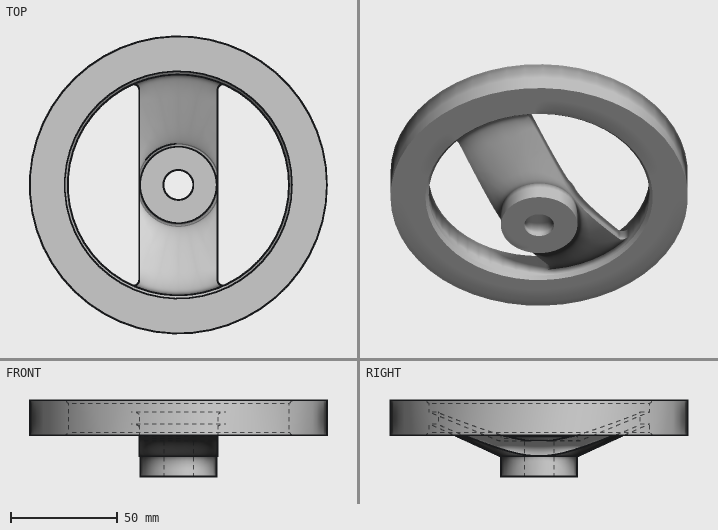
import cadquery as cq
import math

rim_outer_radius = 70.0
rim_inner_radius = 52.0
rim_width = 16.5
rim_chamfer = 1.5

hub_radius = 18.0
hub_top_z = -17.0
hub_bottom_z = -36.0
hub_neck_z = -26.5
hub_fillet_radius = 1.0
bore_diameter = 14.0

web_top_angle = 22.5
web_underside_angle = 24.5
web_top_z_at_rim = -5.4
spoke_width = 37.0
spoke_corner_radius = 2.5

web_overlap = 1.0


def revolve(profile):
    """Turn a closed (radius, Z) profile about the Z axis."""
    return profile.close().revolve(360, (0, 0, 0), (0, 1, 0))


def make_rim():
    """Plain ring whose bore is chamfered at both ends."""
    chamfer_radius = rim_inner_radius + rim_chamfer
    return revolve(
        cq.Workplane("XZ")
        .moveTo(rim_inner_radius, -rim_chamfer)
        .lineTo(chamfer_radius, 0)
        .lineTo(rim_outer_radius, 0)
        .lineTo(rim_outer_radius, -rim_width)
        .lineTo(chamfer_radius, -rim_width)
        .lineTo(rim_inner_radius, rim_chamfer - rim_width)
    )


def make_hub_and_web():
    """Hub and full conical web, with a fillet where the web meets the hub top."""
    top_tilt = math.radians(web_top_angle)
    underside_slope = math.tan(math.radians(web_underside_angle))
    web_radius = rim_inner_radius + web_overlap

    def web_top_z(radius):
        return web_top_z_at_rim + (radius - rim_inner_radius) * math.tan(top_tilt)

    fillet_center_radius = hub_radius + hub_fillet_radius
    fillet_center_z = web_top_z(fillet_center_radius) + hub_fillet_radius / math.cos(top_tilt)
    fillet_foot_radius = fillet_center_radius + hub_fillet_radius * math.sin(top_tilt)
    half_sweep = (math.pi / 2 + top_tilt) / 2
    fillet_middle = (
        fillet_center_radius - hub_fillet_radius * math.cos(half_sweep),
        fillet_center_z - hub_fillet_radius * math.sin(half_sweep),
    )

    return revolve(
        cq.Workplane("XZ")
        .moveTo(0, hub_top_z)
        .lineTo(hub_radius, hub_top_z)
        .lineTo(hub_radius, fillet_center_z)
        .threePointArc(fillet_middle, (fillet_foot_radius, web_top_z(fillet_foot_radius)))
        .lineTo(web_radius, web_top_z(web_radius))
        .lineTo(web_radius, hub_neck_z + underside_slope * (web_radius - hub_radius))
        .lineTo(hub_radius, hub_neck_z)
        .lineTo(hub_radius, hub_bottom_z)
        .lineTo(0, hub_bottom_z)
    )


def make_spoke_band():
    """Block along Y that limits the web to the width of the spokes."""
    return (
        cq.Workplane("XY", origin=(0, 0, hub_bottom_z))
        .rect(spoke_width, 2 * rim_outer_radius)
        .extrude(-hub_bottom_z)
    )


def make_bore():
    return (
        cq.Workplane("XY", origin=(0, 0, hub_bottom_z))
        .circle(bore_diameter / 2)
        .extrude(hub_top_z - hub_bottom_z)
    )


def round_spoke_corners(wheel):
    """Fillet the vertical edges where the spoke sides run into the rim bore."""
    corner_x = spoke_width / 2
    corner_y = math.sqrt(rim_inner_radius**2 - corner_x**2)
    corner_z = -rim_width / 2
    for side_x in (-1, 1):
        for side_y in (-1, 1):
            corner = (side_x * corner_x, side_y * corner_y, corner_z)
            corner_edge = cq.selectors.NearestToPointSelector(corner)
            wheel = wheel.edges("|Z").edges(corner_edge).fillet(spoke_corner_radius)
    return wheel


hub_and_spokes = make_hub_and_web().intersect(make_spoke_band())
wheel = make_rim().union(hub_and_spokes)
result = round_spoke_corners(wheel).cut(make_bore())